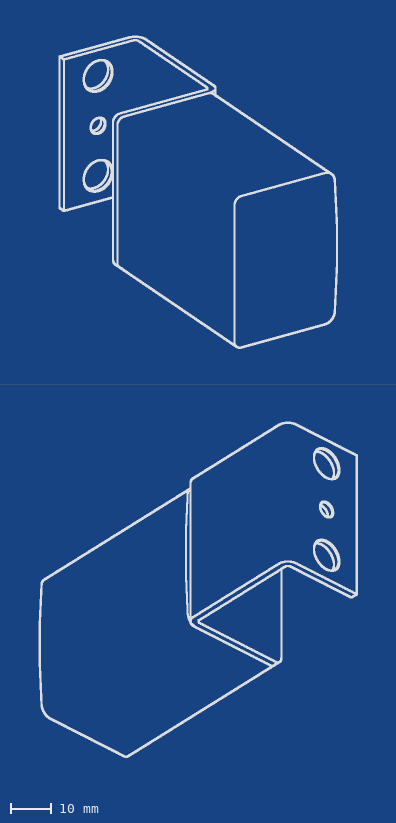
import cadquery as cq

length = 90.2
depth = 29.9
height = 41.0

sheet = 2.0
inner_bend = 1.0
outer_bend = inner_bend + sheet
bracket_length = 37.0
short_leg_depth = 23.0

hole_from_back = 13.1
large_hole_diameter = 8.0
small_hole_diameter = 4.0
hole_chamfer = 0.2
hole_pitch = 13.5

front_corner_radius = 2.0
back_corner_radius = 3.0
back_bulge = 0.9
block_gap_at_back = 0.1
block_back = depth - block_gap_at_back
block_shoulder = block_back - back_bulge


def round_front_corners(body):
    """Round the two long edges at the bottom and top of the front face."""
    return body.faces("<Y").edges("|X").fillet(front_corner_radius)


def make_bracket():
    web_inside = depth - sheet
    right_inside = bracket_length - sheet
    leg_end = depth - short_leg_depth
    profile = (
        cq.Workplane("XY")
        .moveTo(0, leg_end)
        .lineTo(0, depth)
        .lineTo(bracket_length, depth)
        .lineTo(bracket_length, 0)
        .lineTo(right_inside, 0)
        .lineTo(right_inside, web_inside)
        .lineTo(sheet, web_inside)
        .lineTo(sheet, leg_end)
        .close()
    )
    bracket = profile.extrude(height)
    bracket = bracket.edges("|Z").edges(">Y").fillet(outer_bend)
    inner_corners = cq.selectors.BoxSelector(
        (sheet / 2, web_inside - sheet / 2, 0),
        (bracket_length - sheet / 2, web_inside + sheet / 2, height),
    )
    bracket = bracket.edges("|Z").edges(inner_corners).fillet(inner_bend)
    bracket = round_front_corners(bracket)
    return drill_short_leg(bracket)


def drill_short_leg(bracket):
    """Drill two large holes with a small one midway, all chamfered at both ends."""
    holes = [
        (-hole_pitch, large_hole_diameter),
        (0, small_hole_diameter),
        (hole_pitch, large_hole_diameter),
    ]
    for offset, diameter in holes:
        mouth_radius = diameter / 2 + hole_chamfer
        drill = (
            cq.Workplane("XY", origin=(0, depth - hole_from_back, height / 2 + offset))
            .moveTo(0, 0)
            .lineTo(0, mouth_radius)
            .lineTo(hole_chamfer, diameter / 2)
            .lineTo(sheet - hole_chamfer, diameter / 2)
            .lineTo(sheet, mouth_radius)
            .lineTo(sheet, 0)
            .close()
            .revolve(360, (0, 0, 0), (1, 0, 0))
        )
        bracket = bracket.cut(drill)
    return bracket


def make_block():
    """Solid block with a slightly bulged back and rounded long edges."""
    block = (
        cq.Workplane("YZ", origin=(bracket_length, 0, 0))
        .moveTo(0, 0)
        .lineTo(block_shoulder, 0)
        .threePointArc((block_back, height / 2), (block_shoulder, height))
        .lineTo(0, height)
        .close()
        .extrude(length - bracket_length)
    )
    block = block.edges("|X").edges(">Y").fillet(back_corner_radius)
    return round_front_corners(block)


bracket = make_bracket()
block = make_block()
result = cq.Compound.makeCompound([bracket.val(), block.val()])